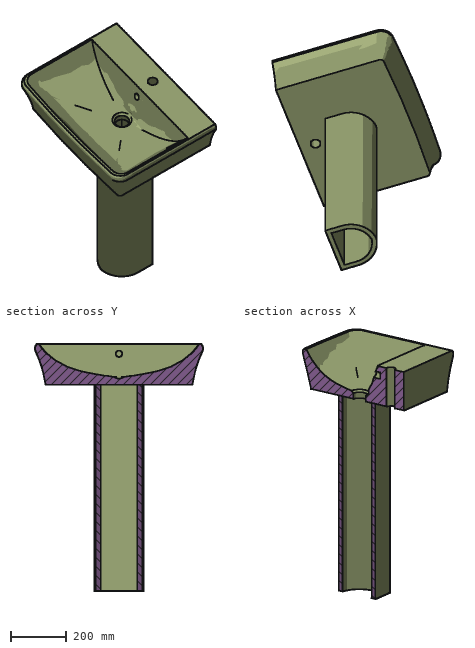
import cadquery as cq
import math

total_height = 896.0
basin_height = 149.0
basin_floor = total_height - basin_height

widest_section = (21.5, 305.0, 454.0, 45.0)
side_sections = [
    (basin_height, 266.0, 417.5, 13.0),
    (81.0, 281.0, 435.5, 37.0),
    widest_section,
]
lip_sections = [
    widest_section,
    (9.0, 304.0, 454.0, 47.0),
    (0.0, 297.5, 448.0, 45.0),
]
front_bow = 7.0

rim_back = 118.0
rim_half_width = 290.0
rim_corner_start = 391.0
rim_front_half_width = 252.0
rim_front_corner = 430.0
rim_front = 437.0
rim_corner_mid = (279.0, 418.0)

valley_points = [
    [(181.0, 150.5, 88.0), (107.0, 168.0, 107.5)],
    [(224.0, 344.0, 56.0), (133.5, 278.0, 95.0)],
    [(181.0, 359.0, 58.0), (107.0, 287.0, 93.0)],
]
valley_drain_angles = [25, -31, -42]

back_wall_points = [
    (0, 133.0, 36.0),
    (0, 146.0, 76.0),
    (0, 159.5, 107.5),
    (-63.0, 154.0, 96.0),
    (63.0, 154.0, 96.0),
]

drain_reach = 199.0
drain_depth = 118.0
drain_seat_radius = 35.0
drain_radius = 27.0
drain_chamfer = drain_seat_radius - drain_radius
tap_reach = 60.0
tap_radius = 18.0
overflow_drop = 36.0
overflow_radius = 12.0
overflow_back = 107.5

pedestal_back = 128.0
pedestal_half_width = 90.5
pedestal_side = 66.0
pedestal_front = 293.0
pedestal_shoulder_x = 64.0
pedestal_shoulder_reach = 262.0
pedestal_wall = 18.0


def outer_section(drop, half_width, reach, radius):
    """Closed outline with a straight back, rounded front corners and a bowed front."""
    side_end = -(reach - front_bow - radius)
    corner_end = -(reach - front_bow)
    corner_x = half_width - radius
    mid_offset = radius * math.sqrt(0.5)
    return (
        cq.Workplane("XY", origin=(0, 0, total_height - drop))
        .moveTo(half_width, 0)
        .lineTo(-half_width, 0)
        .lineTo(-half_width, side_end)
        .threePointArc((-corner_x - mid_offset, side_end - mid_offset), (-corner_x, corner_end))
        .threePointArc((0, -reach), (corner_x, corner_end))
        .threePointArc((corner_x + mid_offset, side_end - mid_offset), (half_width, side_end))
        .close()
        .val()
    )


def drain_point(angle):
    """Point on the drain seat circle; the angle runs from +X toward +Y."""
    turn = math.radians(angle)
    return cq.Vector(
        drain_seat_radius * math.cos(turn),
        -drain_reach + drain_seat_radius * math.sin(turn),
        total_height - drain_depth,
    )


def surface_point(x, reach, drop):
    return cq.Vector(x, -reach, total_height - drop)


def mirrored(point):
    """The same point on the other side of the middle plane X = 0."""
    return cq.Vector(-point.x, point.y, point.z)


def make_bowl():
    """Solid filling the bowl: six faces run from the rim down to the drain seat."""
    right_rim = [
        surface_point(rim_half_width, rim_back, 0),
        surface_point(rim_half_width, rim_corner_start, 0),
        surface_point(rim_front_half_width, rim_front_corner, 0),
    ]
    right_middles = [[surface_point(*point) for point in points] for points in valley_points]
    right_angles = valley_drain_angles

    rim = right_rim + [mirrored(p) for p in reversed(right_rim)]
    middles = right_middles + [[mirrored(p) for p in m] for m in reversed(right_middles)]
    angles = right_angles + [-180 - a for a in reversed(right_angles)]
    valleys = [
        cq.Edge.makeSpline([start, *middle, drain_point(angle)])
        for start, middle, angle in zip(rim, middles, angles)
    ]

    corner_mid = surface_point(*rim_corner_mid, 0)
    rim_edges = [
        cq.Edge.makeLine(rim[0], rim[1]),
        cq.Edge.makeThreePointArc(rim[1], corner_mid, rim[2]),
        cq.Edge.makeThreePointArc(rim[2], surface_point(0, rim_front, 0), rim[3]),
        cq.Edge.makeThreePointArc(rim[3], mirrored(corner_mid), rim[4]),
        cq.Edge.makeLine(rim[4], rim[5]),
        cq.Edge.makeLine(rim[5], rim[0]),
    ]
    next_angles = angles[1:] + [angles[0] - 360]
    drain_edges = [
        cq.Edge.makeThreePointArc(drain_point(a), drain_point((a + b) / 2), drain_point(b))
        for a, b in zip(angles, next_angles)
    ]

    back_wall = [surface_point(*point) for point in back_wall_points]
    face_points = [[]] * (len(rim) - 1) + [back_wall]
    faces = []
    for i, points in enumerate(face_points):
        border = [rim_edges[i], valleys[(i + 1) % len(valleys)], drain_edges[i], valleys[i]]
        faces.append(cq.Face.makeNSidedSurface(border, points))
    faces.append(cq.Face.makeFromWires(cq.Wire.assembleEdges(rim_edges)))
    faces.append(cq.Face.makeFromWires(cq.Wire.assembleEdges(drain_edges)))
    return cq.Solid.makeSolid(cq.Shell.makeShell(faces)).fix()


def make_drain():
    """Through hole with a conical seat at the bottom of the bowl."""
    seat_height = total_height - drain_depth
    hole = (
        cq.Workplane("XY", origin=(0, -drain_reach, basin_floor))
        .circle(drain_radius)
        .extrude(basin_height)
    )
    seat = cq.Solid.makeCone(
        drain_radius,
        drain_seat_radius,
        drain_chamfer,
        pnt=cq.Vector(0, -drain_reach, seat_height - drain_chamfer),
    )
    return hole.union(cq.Workplane(seat))


def make_basin():
    sides = cq.Solid.makeLoft([outer_section(*section) for section in side_sections])
    lip = cq.Solid.makeLoft([outer_section(*section) for section in lip_sections])
    outer = cq.Workplane(sides).union(cq.Workplane(lip))
    tap_hole = (
        cq.Workplane("XY", origin=(0, -tap_reach, basin_floor))
        .circle(tap_radius)
        .extrude(basin_height)
    )
    overflow = (
        cq.Workplane("XZ", origin=(0, -overflow_back, total_height - overflow_drop))
        .circle(overflow_radius)
        .extrude(drain_reach - overflow_back)
    )
    return outer.cut(cq.Workplane(make_bowl())).cut(make_drain()).cut(tap_hole).cut(overflow)


def pedestal_prism(inset):
    """Prism with flat back and sides and a front of two arcs, moved inward by the inset."""
    side_end = -(pedestal_back + pedestal_side)
    half_width = pedestal_half_width - inset
    back = -(pedestal_back + inset)
    front = -(pedestal_front - inset)
    shoulder_x = pedestal_shoulder_x - inset * math.sqrt(0.5)
    shoulder_y = -(pedestal_shoulder_reach - inset * math.sqrt(0.5))
    return (
        cq.Workplane("XY")
        .moveTo(-half_width, side_end)
        .lineTo(-half_width, back)
        .lineTo(half_width, back)
        .lineTo(half_width, side_end)
        .threePointArc((shoulder_x, shoulder_y), (0, front))
        .threePointArc((-shoulder_x, shoulder_y), (-half_width, side_end))
        .close()
        .extrude(basin_floor)
    )


def make_pedestal():
    """Hollow column, open at both ends so that the drain runs down through it."""
    return pedestal_prism(0).cut(pedestal_prism(pedestal_wall))


basin = make_basin()
pedestal = make_pedestal()
result = cq.Compound.makeCompound([basin.val(), pedestal.val()])